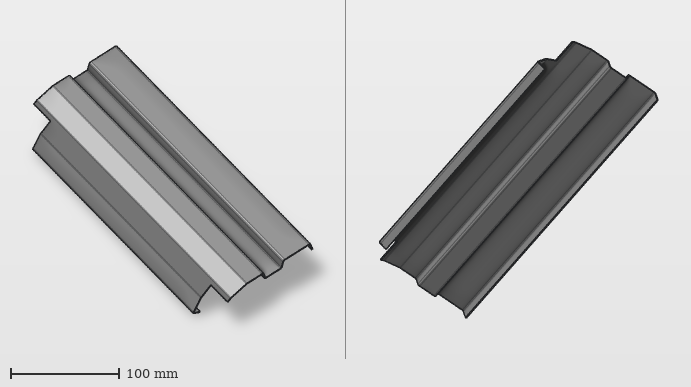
import cadquery as cq
import math

LENGTH = 290.0
THICKNESS = 1.5
INNER_BEND_RADIUS = 1.02
OUTER_BEND_RADIUS = INNER_BEND_RADIUS + THICKNESS

BACK_LEG = 11.5
BACK_LAND = 32.0
CHANNEL_DEPTH = 9.5
CHANNEL_FLOOR = 18.0
FRONT_LAND = 20.0
FACET = 20.0
LIP = 10.0

WALL_ANGLE = 75.0
FACET_STEP = 20.0
LIP_BEND = 90.0

NOTCH_LENGTH = 25.0
NOTCH_START = 5.0

CHANNEL_WALL = CHANNEL_DEPTH / math.sin(math.radians(WALL_ANGLE))
LAST_FACET_ANGLE = 3 * FACET_STEP

RUNS = [
    (BACK_LEG, -WALL_ANGLE),
    (BACK_LAND, 0.0),
    (CHANNEL_WALL, WALL_ANGLE),
    (CHANNEL_FLOOR, 0.0),
    (CHANNEL_WALL, -WALL_ANGLE),
    (FRONT_LAND, 0.0),
    (FACET, FACET_STEP),
    (FACET, 2 * FACET_STEP),
    (FACET, LAST_FACET_ANGLE),
    (LIP, LAST_FACET_ANGLE + LIP_BEND),
]
MIDDLE_FACET = 7


def along(angle):
    """Unit (y, z) direction of a run heading towards the front."""
    a = math.radians(angle)
    return -math.cos(a), -math.sin(a)


def inward(angle):
    """Unit (y, z) normal from the upper face into the sheet."""
    a = math.radians(angle)
    return math.sin(a), -math.cos(a)


def move(point, direction, distance):
    return point[0] + direction[0] * distance, point[1] + direction[1] * distance


def upper_corners():
    points = [(0.0, 0.0)]
    for length, angle in RUNS:
        points.append(move(points[-1], along(angle), length))
    return points


def lower_corners(upper):
    """Offset the upper corners by the sheet thickness, mitred at each bend."""
    angles = [angle for _, angle in RUNS]
    before = [angles[0]] + angles
    after = angles + [angles[-1]]
    points = []
    for corner, a, b in zip(upper, before, after):
        half_bend = math.radians((b - a) / 2)
        points.append(move(corner, inward((a + b) / 2), THICKNESS / math.cos(half_bend)))
    return points


def extrude_profile(points, length):
    """Extrude a closed (y, z) outline along X, centred on X = 0."""
    return cq.Workplane("YZ").polyline(points).close().extrude(length / 2, both=True)


def round_bend(body, corner, radius):
    """Round the full-length edge that passes through a profile corner."""
    edge = cq.selectors.NearestToPointSelector((0, *corner))
    return body.edges("|X").edges(edge).fillet(radius)


def bent_sheet(upper):
    lower = lower_corners(upper)
    body = extrude_profile(upper + lower[::-1], LENGTH)
    for i in range(1, len(RUNS)):
        folds_down = RUNS[i][1] > RUNS[i - 1][1]
        upper_radius = OUTER_BEND_RADIUS if folds_down else INNER_BEND_RADIUS
        lower_radius = INNER_BEND_RADIUS if folds_down else OUTER_BEND_RADIUS
        body = round_bend(body, upper[i], upper_radius)
        body = round_bend(body, lower[i], lower_radius)
    return body


def notch_cutter(upper):
    """Block covering the apron in front of a cut square to the middle facet."""
    angle = RUNS[MIDDLE_FACET][1]
    reach = 2 * FACET + LIP
    start = move(upper[MIDDLE_FACET], along(angle), NOTCH_START)
    top = move(start, inward(angle), -THICKNESS)
    bottom = move(start, inward(angle), reach)
    outline = [
        top,
        move(top, along(angle), reach),
        move(bottom, along(angle), reach),
        bottom,
    ]
    kept_width = LENGTH - 2 * NOTCH_LENGTH
    return extrude_profile(outline, LENGTH).cut(extrude_profile(outline, kept_width))


profile = upper_corners()
result = bent_sheet(profile).cut(notch_cutter(profile))